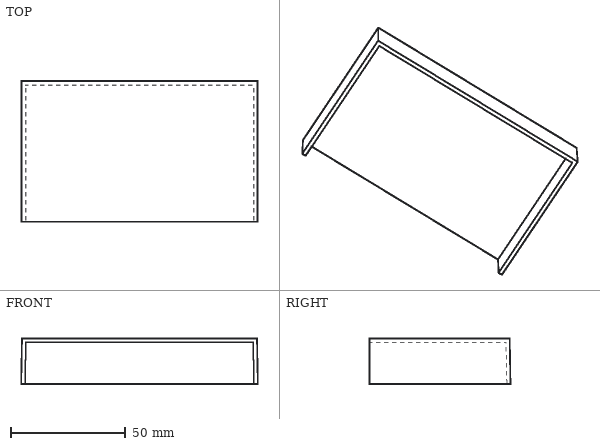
import cadquery as cq
import math

length = 103.8
width = 61.9
height = 20.0

wall = 1.8
draft_angle = 1.0

front_y = -width / 2
back_y = width / 2


def drafted_block(inset, block_height):
    """Block leaning inwards on its two ends and its back; the front stays upright.

    The end and back faces lie `inset` inside the outer faces of the cover.
    """
    lean = block_height * math.tan(math.radians(draft_angle))

    def section(shrink, z):
        half_length = length / 2 - shrink
        return (
            cq.Workplane("XY")
            .workplane(offset=z)
            .polyline([
                (-half_length, front_y),
                (half_length, front_y),
                (half_length, back_y - shrink),
                (-half_length, back_y - shrink),
            ])
            .close()
            .wires()
            .val()
        )

    bottom = section(inset, 0)
    top = section(inset + lean, block_height)
    return cq.Workplane(cq.Solid.makeLoft([bottom, top], True))


outside = drafted_block(0, height)
cavity = drafted_block(wall, height - wall)
result = outside.cut(cavity)